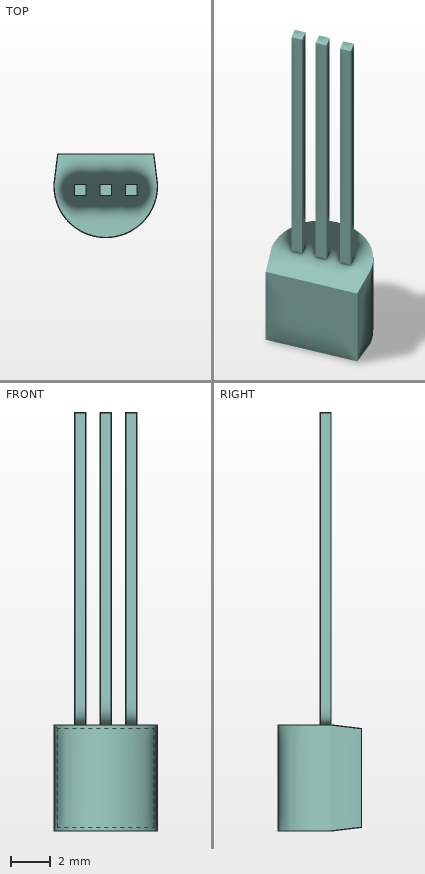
import cadquery as cq
import math

body_radius = 2.6
body_height = 5.32
total_height = 20.95
body_depth = 4.2
back_depth = 1.53
draft_angle = 7.0
lead_width = 0.57
lead_depth = 0.55
lead_pitch = 1.28

front_depth = body_depth - back_depth
axis_y = body_radius - front_depth
half_chord = math.sqrt(body_radius**2 - axis_y**2)


def round_front():
    """Cylinder segment in front of the parting plane."""
    return (
        cq.Workplane("XY")
        .moveTo(-half_chord, 0)
        .threePointArc((0, -front_depth), (half_chord, 0))
        .close()
        .extrude(body_height)
    )


def drafted_back():
    """Block tapering on all four sides away from the parting plane."""
    return (
        cq.Workplane("XZ")
        .center(0, body_height / 2)
        .rect(2 * half_chord, body_height)
        .extrude(-back_depth, taper=draft_angle)
    )


def lead(x):
    """Square-cut lead standing on the body, its back on the parting plane."""
    return (
        cq.Workplane("XY", origin=(x, -lead_depth / 2, body_height))
        .rect(lead_width, lead_depth)
        .extrude(total_height - body_height)
    )


result = round_front().union(drafted_back())
for position in (-1, 0, 1):
    result = result.union(lead(position * lead_pitch))